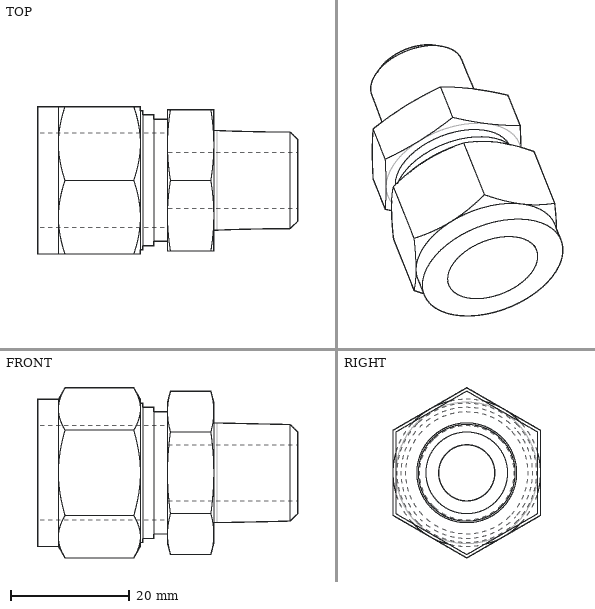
import cadquery as cq
import math


collar_end = 3.55
nut_end = 17.4
nut_lip_end = 17.8
shoulder_end = 19.7
body_hex_start = 22.0
body_hex_end = 29.85
taper_start = 30.4
tip_chamfer_start = 42.78
total_length = 44.1

nut_flats = 25.0
body_hex_flats = 24.0
nut_lip_diameter = 23.65
shoulder_diameter = 22.25
neck_diameter = 20.73
thread_diameter = 16.95
thread_end_diameter = 16.4
tip_diameter = 13.85

nut_chamfer_angle = 30.0
body_hex_chamfer_angle = 15.0

tube_socket_diameter = 16.0
tube_socket_depth = body_hex_start
through_bore_diameter = 9.5


def cylinder(start, end, diameter):
    """Solid round section along X."""
    return cq.Workplane("YZ", origin=(start, 0, 0)).circle(diameter / 2).extrude(end - start)


def revolved(points):
    """Solid of revolution about X from an (axial, radial) outline."""
    return cq.Workplane("XZ").polyline(points).close().revolve(360, (0, 0, 0), (1, 0, 0))


def chamfered_hexagon(start, end, flats, chamfer_angle):
    """Hexagon with corners up and down, coned at both ends down to its inscribed circle."""
    inner_radius = flats / 2
    corner_radius = inner_radius / math.cos(math.radians(30))
    chamfer_length = (corner_radius - inner_radius) * math.tan(math.radians(chamfer_angle))
    prism = (
        cq.Workplane("YZ", origin=(start, 0, 0))
        .transformed(rotate=(0, 0, 90))
        .polygon(6, 2 * corner_radius)
        .extrude(end - start)
    )
    cone_envelope = revolved([
        (start, 0),
        (start, inner_radius),
        (start + chamfer_length, corner_radius),
        (end - chamfer_length, corner_radius),
        (end, inner_radius),
        (end, 0),
    ])
    return prism.intersect(cone_envelope)


collar = cylinder(0, collar_end, nut_flats)
nut = chamfered_hexagon(collar_end, nut_end, nut_flats, nut_chamfer_angle)
nut_lip = cylinder(nut_end, nut_lip_end, nut_lip_diameter)

shoulder = cylinder(nut_lip_end, shoulder_end, shoulder_diameter)
neck = cylinder(shoulder_end, body_hex_start, neck_diameter)
body_hex = chamfered_hexagon(body_hex_start, body_hex_end, body_hex_flats, body_hex_chamfer_angle)

threaded_end = revolved([
    (body_hex_end, 0),
    (body_hex_end, thread_diameter / 2),
    (taper_start, thread_diameter / 2),
    (tip_chamfer_start, thread_end_diameter / 2),
    (total_length, tip_diameter / 2),
    (total_length, 0),
])

tube_socket = cylinder(0, tube_socket_depth, tube_socket_diameter)
through_bore = cylinder(0, total_length, through_bore_diameter)

result = collar
for section in (nut, nut_lip, shoulder, neck, body_hex, threaded_end):
    result = result.union(section)
result = result.cut(tube_socket).cut(through_bore)